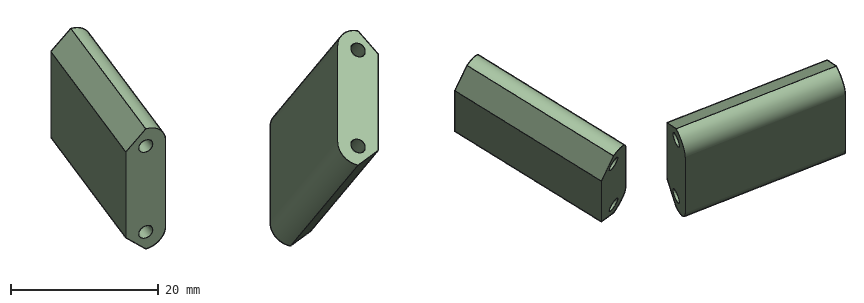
import cadquery as cq

length = 23.87
thickness = 6.0
height = 21.0
hole_diameter = 2.1

edge_size = thickness / 2
hole_spacing = height - 2 * edge_size


def make_body():
    """Plate with rounded back edges and 45 degree chamfered front edges."""
    plate = cq.Workplane("XY").box(length, thickness, height)
    rounded = plate.faces(">Y").edges("|X").fillet(edge_size)
    front_profile = (
        cq.Workplane("YZ")
        .moveTo(edge_size, -height / 2)
        .lineTo(edge_size, height / 2)
        .lineTo(0, height / 2)
        .lineTo(-edge_size, hole_spacing / 2)
        .lineTo(-edge_size, -hole_spacing / 2)
        .lineTo(0, -height / 2)
        .close()
        .extrude(length / 2, both=True)
    )
    return rounded.intersect(front_profile)


def make_pin_holes():
    """Two through holes along X, centred on the axes of the rounds."""
    return (
        cq.Workplane("YZ")
        .pushPoints([(0, -hole_spacing / 2), (0, hole_spacing / 2)])
        .circle(hole_diameter / 2)
        .extrude(length / 2, both=True)
    )


result = make_body().cut(make_pin_holes())